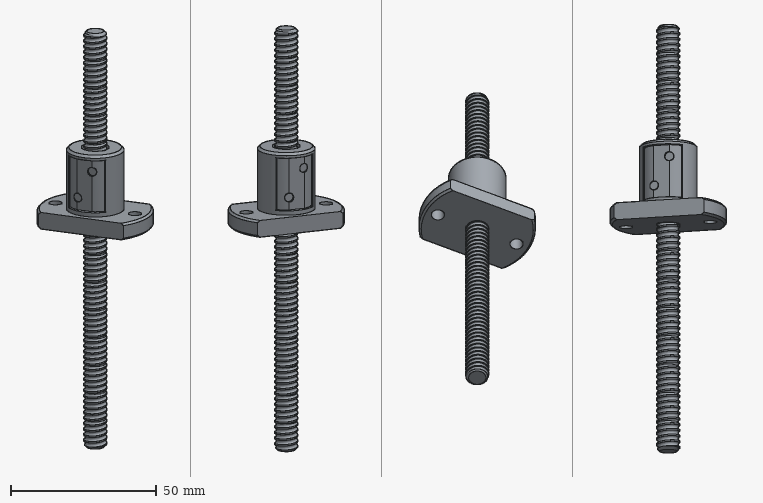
import cadquery as cq
screw_length = 150
screw_diameter = 8.0
screw_radius = screw_diameter / 2
screw_chamfer = 1.0
turn_count = 75
pitch = screw_length / turn_count
groove_radius = 0.8
groove_depth = 0.5
groove_start_angle = -45

turns_per_section = 5
section_count = turn_count // turns_per_section
section_length = turns_per_section * pitch
trim_margin = 0.8
sewing_tolerance = 1e-4

flange_bottom = 40 * pitch
flange_thickness = 6
flange_diameter = 40.0
flange_width = 24
flange_chamfer = 0.8
flange_hole_diameter = 4.5
flange_hole_spacing = 30
flange_top = flange_bottom + flange_thickness

barrel_length = 22.0
barrel_diameter = 20.0
barrel_radius = barrel_diameter / 2
barrel_chamfer = 0.9
barrel_top = flange_top + barrel_length
mouth_diameter = 9.6
mouth_depth = 3

window_width = 14.0
window_bottom = flange_top + 1.5
window_top = barrel_top - 1.8
window_floor_distance = 6
side_moat_width = 0.5
end_moat_width = 0.22
pad_radius = 9.5
pad_flat_distance = 9

pocket_diameter = 3.2
pocket_depth = 0.8
pocket_offset = 2.7
upper_pocket_z = barrel_top - 6
lower_pocket_z = upper_pocket_z - 5 * pitch


def cylinder(radius, bottom, height):
    return cq.Workplane("XY", origin=(0, 0, bottom)).circle(radius).extrude(height)


def make_groove(length):
    """Round-bottomed ball groove along a right-hand helix that starts at z = 0."""
    center = screw_radius - groove_depth + groove_radius
    profile = (
        cq.Workplane("XZ")
        .moveTo(center, -groove_radius)
        .threePointArc((center - groove_radius, 0), (center, groove_radius))
        .lineTo(center + groove_radius, groove_radius)
        .lineTo(center + groove_radius, -groove_radius)
        .close()
    )
    helix = cq.Wire.makeHelix(pitch, length, center)
    groove = profile.sweep(cq.Workplane(helix), isFrenet=True)
    return groove.rotate((0, 0, 0), (0, 0, 1), groove_start_angle)


def make_threaded_rod():
    """Rod whose groove runs one turn past both ends of the section from z = 0 to section_length."""
    groove = make_groove(section_length + 2 * pitch).translate((0, 0, -pitch))
    return cylinder(screw_radius, -2 * pitch, section_length + 4 * pitch).cut(groove)


def make_screw():
    rod = make_threaded_rod()
    envelope = cylinder(screw_radius + trim_margin, 0, section_length)
    end_chamfer = screw_chamfer + trim_margin
    bottom_section = rod.intersect(envelope.faces("<Z").chamfer(end_chamfer))
    middle_section = rod.intersect(envelope)
    top_section = rod.intersect(envelope.faces(">Z").chamfer(end_chamfer))

    faces = bottom_section.faces("not >Z").vals()
    for index in range(1, section_count - 1):
        section = middle_section.translate((0, 0, index * section_length))
        faces += section.faces("not (<Z or >Z)").vals()
    top_section = top_section.translate((0, 0, screw_length - section_length))
    faces += top_section.faces("not <Z").vals()
    return cq.Solid.makeSolid(cq.occ_impl.shapes.shell(*faces, tol=sewing_tolerance))


def make_flange():
    disc = cylinder(flange_diameter / 2, flange_bottom, flange_thickness)
    disc = disc.faces("<Z or >Z").chamfer(flange_chamfer)
    base = cq.Workplane("XY", origin=(0, 0, flange_bottom))
    sides = base.rect(flange_diameter, flange_width).extrude(flange_thickness)
    holes = base.pushPoints([(-flange_hole_spacing / 2, 0), (flange_hole_spacing / 2, 0)])
    holes = holes.circle(flange_hole_diameter / 2).extrude(flange_thickness)
    return disc.intersect(sides).cut(holes)


def make_window_block(side_inset, end_inset):
    """Block from the window floor out past the barrel, smaller than the window by the insets."""
    width = window_width - 2 * side_inset
    height = window_top - window_bottom - 2 * end_inset
    middle = (window_bottom + window_top) / 2
    plane = cq.Workplane("XZ", origin=(0, -window_floor_distance, middle))
    return plane.rect(width, height).extrude(barrel_radius)


def make_pad():
    """Pad with a round outer face that has a flat along its middle and two pockets."""
    height = window_top - window_bottom
    outline = cylinder(pad_radius, window_bottom, height)
    plane = cq.Workplane("XY", origin=(0, 0, window_bottom))
    slab = plane.rect(barrel_diameter, 2 * pad_flat_distance).extrude(height)
    pad = make_window_block(side_moat_width, end_moat_width).intersect(outline).intersect(slab)
    pockets = cq.Workplane("XZ", origin=(0, pocket_depth - pad_flat_distance, 0))
    pockets = pockets.pushPoints([(pocket_offset, upper_pocket_z), (-pocket_offset, lower_pocket_z)])
    return pad.cut(pockets.circle(pocket_diameter / 2).extrude(barrel_radius))


def make_nut():
    barrel = cylinder(barrel_radius, flange_top, barrel_length).faces(">Z").chamfer(barrel_chamfer)
    barrel = barrel.cut(make_window_block(0, 0)).union(make_pad())
    bore = cylinder(screw_radius, flange_bottom, barrel_top - flange_bottom)
    mouth = cylinder(mouth_diameter / 2, barrel_top - mouth_depth, mouth_depth)
    return make_flange().union(barrel).cut(bore).cut(mouth)


screw = make_screw()
nut = make_nut()
result = cq.Compound.makeCompound([screw, nut.val()])